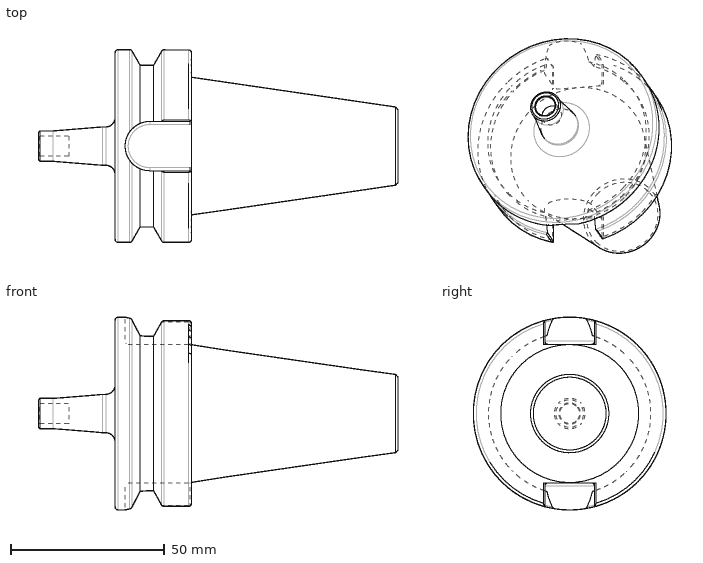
import cadquery as cq
import math


GAUGE_DIAMETER = 44.45
TAPER_LENGTH = 65.4
TAPER_RATIO = 7 / 24
SHANK_END_CHAMFER = 0.8

FLANGE_DIAMETER = 63.0
FLANGE_WIDTH = 25.0
FLANGE_REAR_X = -2.0
FLANGE_EDGE_RADIUS = 1.0

GROOVE_DIAMETER = 53.0
GROOVE_CENTRE_X = -16.6
GROOVE_FLOOR_WIDTH = 4.4
GROOVE_HALF_ANGLE = 30.0

SLOT_WIDTH = 16.1
SLOT_LENGTH = 21.7
SLOT_FLOOR_HEIGHT = 22.6
SLOT_FLOOR_RADIUS = 1.0
SLOT_EDGE_CHAMFER = 0.5
CUTTER_OVERRUN = 2.0

NOSE_LENGTH = 25.0
TIP_DIAMETER = 10.0
TIP_LENGTH = 4.8
TIP_CHAMFER = 0.5
NOSE_BASE_DIAMETER = 12.6
NOSE_CONE_END = 20.9
NOSE_FILLET_RADIUS = 3.0
BORE_DIAMETER = 6.5
BORE_DEPTH = 10.0
BORE_CHAMFER = 0.25

RADIUS_TOLERANCE = 1e-4

flange_radius = FLANGE_DIAMETER / 2
flange_front_x = FLANGE_REAR_X - FLANGE_WIDTH
slot_cut_height = flange_radius - SLOT_FLOOR_HEIGHT + CUTTER_OVERRUN
tip_x = flange_front_x - NOSE_LENGTH


def taper_radius(x):
    return (GAUGE_DIAMETER - TAPER_RATIO * x) / 2


def revolve_about_x(profile):
    return profile.close().revolve(360, (0, 0, 0), (1, 0, 0))


def make_shank():
    end_radius = taper_radius(TAPER_LENGTH)
    profile = (
        cq.Workplane("XY")
        .moveTo(FLANGE_REAR_X, 0)
        .lineTo(FLANGE_REAR_X, taper_radius(FLANGE_REAR_X))
        .lineTo(TAPER_LENGTH, end_radius)
        .lineTo(TAPER_LENGTH, 0)
    )
    return revolve_about_x(profile).faces(">X").edges().chamfer(SHANK_END_CHAMFER)


def make_flange_blank():
    groove_radius = GROOVE_DIAMETER / 2
    wall_run = (flange_radius - groove_radius) * math.tan(math.radians(GROOVE_HALF_ANGLE))
    floor_front_x = GROOVE_CENTRE_X - GROOVE_FLOOR_WIDTH / 2
    floor_rear_x = GROOVE_CENTRE_X + GROOVE_FLOOR_WIDTH / 2
    profile = (
        cq.Workplane("XY")
        .moveTo(flange_front_x, 0)
        .lineTo(flange_front_x, flange_radius)
        .lineTo(floor_front_x - wall_run, flange_radius)
        .lineTo(floor_front_x, groove_radius)
        .lineTo(floor_rear_x, groove_radius)
        .lineTo(floor_rear_x + wall_run, flange_radius)
        .lineTo(FLANGE_REAR_X, flange_radius)
        .lineTo(FLANGE_REAR_X, 0)
    )
    return revolve_about_x(profile)


def make_drive_slot():
    end_x = FLANGE_REAR_X - SLOT_LENGTH
    arc_centre_x = end_x + SLOT_WIDTH / 2
    half_width = SLOT_WIDTH / 2
    rear_x = FLANGE_REAR_X + CUTTER_OVERRUN
    cutter = (
        cq.Workplane("XY", origin=(0, 0, SLOT_FLOOR_HEIGHT))
        .moveTo(rear_x, -half_width)
        .lineTo(arc_centre_x, -half_width)
        .threePointArc((end_x, 0), (arc_centre_x, half_width))
        .lineTo(rear_x, half_width)
        .close()
        .extrude(slot_cut_height)
    )
    return cutter.faces("<Z").edges("not >X").fillet(SLOT_FLOOR_RADIUS)


def make_slot_mouth():
    """Flared rear end of a drive slot, which bevels the upright rear edges of its walls."""
    inner_x = FLANGE_REAR_X - SLOT_EDGE_CHAMFER
    half_width = SLOT_WIDTH / 2
    flared_half_width = half_width + SLOT_EDGE_CHAMFER
    return (
        cq.Workplane("XY", origin=(0, 0, SLOT_FLOOR_HEIGHT))
        .moveTo(inner_x, -half_width)
        .lineTo(FLANGE_REAR_X, -flared_half_width)
        .lineTo(FLANGE_REAR_X, flared_half_width)
        .lineTo(inner_x, half_width)
        .close()
        .extrude(slot_cut_height)
    )


def cut_on_both_sides(body, cutter):
    for angle in (0, 180):
        body = body.cut(cutter.rotate((0, 0, 0), (1, 0, 0), angle))
    return body


def make_flange():
    flange = cut_on_both_sides(make_flange_blank(), make_drive_slot())
    outer_wall_edges = flange.edges("|X").edges(">Z or <Z")
    flange = outer_wall_edges.chamfer(SLOT_EDGE_CHAMFER)
    flange = cut_on_both_sides(flange, make_slot_mouth())

    rim_arcs = [
        edge
        for edge in flange.edges("%CIRCLE").vals()
        if math.isclose(edge.radius(), flange_radius, abs_tol=RADIUS_TOLERANCE)
    ]
    return flange.newObject(rim_arcs).fillet(FLANGE_EDGE_RADIUS)


def make_nose():
    base_radius = NOSE_BASE_DIAMETER / 2
    tip_radius = TIP_DIAMETER / 2
    fillet_start_x = flange_front_x - NOSE_FILLET_RADIUS
    fillet_inset = NOSE_FILLET_RADIUS * math.sqrt(0.5)
    fillet_end_radius = base_radius + NOSE_FILLET_RADIUS
    fillet_middle = (fillet_start_x + fillet_inset, fillet_end_radius - fillet_inset)
    profile = (
        cq.Workplane("XY")
        .moveTo(tip_x, 0)
        .lineTo(tip_x, tip_radius - TIP_CHAMFER)
        .lineTo(tip_x + TIP_CHAMFER, tip_radius)
        .lineTo(tip_x + TIP_LENGTH, tip_radius)
        .lineTo(tip_x + NOSE_CONE_END, base_radius)
        .lineTo(fillet_start_x, base_radius)
        .threePointArc(fillet_middle, (flange_front_x, fillet_end_radius))
        .lineTo(flange_front_x, 0)
    )
    return revolve_about_x(profile)


def make_bore():
    bore_radius = BORE_DIAMETER / 2
    profile = (
        cq.Workplane("XY")
        .moveTo(tip_x, 0)
        .lineTo(tip_x, bore_radius + BORE_CHAMFER)
        .lineTo(tip_x + BORE_CHAMFER, bore_radius)
        .lineTo(tip_x + BORE_DEPTH, bore_radius)
        .lineTo(tip_x + BORE_DEPTH, 0)
    )
    return revolve_about_x(profile)


result = make_flange().union(make_shank()).union(make_nose()).cut(make_bore())